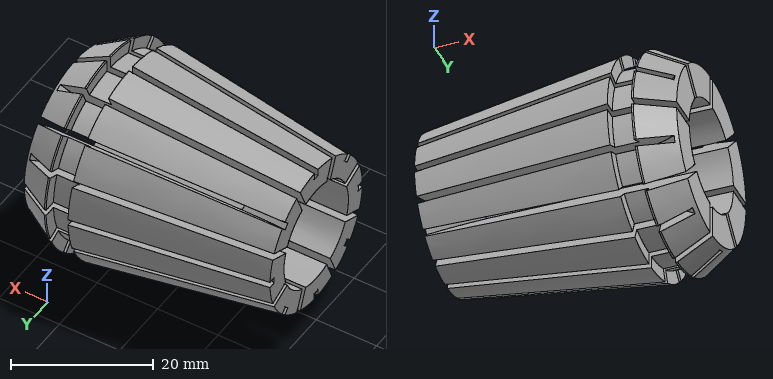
import cadquery as cq
import math


length = 40.0
max_radius = 16.5
bore_radius = 8.5
body_taper_angle = 8.0
nose_angle = 30.0
groove_start = 30.75
groove_end = 34.4
groove_radius = 14.55
rim_width = 0.3

slots_per_end = 8
slot_width = 1.0
slot_pitch = 360.0 / slots_per_end
blade_radius = 20.0
blade_overlap = 0.1
front_slot_stop = 10.0
rear_slot_stop = 25.8


def collet_body():
    """Revolve the outside profile with the bore around the X axis."""
    rim_end = groove_end + rim_width
    small_end_radius = max_radius - groove_start * math.tan(math.radians(body_taper_angle))
    front_radius = max_radius - (length - rim_end) * math.tan(math.radians(nose_angle))
    profile = [
        (0, bore_radius),
        (0, small_end_radius),
        (groove_start, max_radius),
        (groove_start, groove_radius),
        (groove_end, groove_radius),
        (groove_end, max_radius),
        (rim_end, max_radius),
        (length, front_radius),
        (length, bore_radius),
    ]
    return cq.Workplane("XY").polyline(profile).close().revolve(360, (0, 0, 0), (1, 0, 0))


def saw_slot(entry_x, stop_x, angle):
    """Slot from the end at entry_x, rounded off by the blade centred at stop_x, turned about X."""
    floor_radius = bore_radius - blade_overlap
    centre_radius = floor_radius + blade_radius
    direction = math.copysign(1, stop_x - entry_x)
    half_chord = blade_radius * math.sqrt(0.5)
    arc_middle = (stop_x + direction * half_chord, centre_radius - half_chord)
    arc_end = (stop_x + direction * blade_radius, centre_radius)
    slot = (
        cq.Workplane("XZ")
        .moveTo(entry_x, floor_radius)
        .lineTo(stop_x, floor_radius)
        .threePointArc(arc_middle, arc_end)
        .lineTo(entry_x, centre_radius)
        .close()
        .extrude(slot_width / 2, both=True)
    )
    return slot.rotate((0, 0, 0), (1, 0, 0), angle)


result = collet_body()

for index in range(slots_per_end):
    front_angle = index * slot_pitch
    rear_angle = front_angle + slot_pitch / 2
    result = result.cut(saw_slot(length, front_slot_stop, front_angle))
    result = result.cut(saw_slot(0, rear_slot_stop, rear_angle))